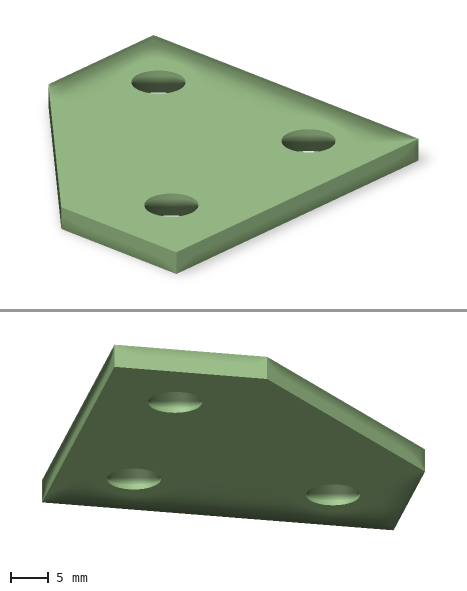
import cadquery as cq

side = 47.65
thickness = 3.2
hole_spacing = 26.95
hole_diameter = 7.2

arm_width = side - hole_spacing
edge_offset = arm_width / 2
corner_cut = side - arm_width

plate = (
    cq.Workplane("XY")
    .moveTo(corner_cut, 0)
    .lineTo(side, 0)
    .lineTo(side, side)
    .lineTo(0, side)
    .lineTo(0, corner_cut)
    .close()
    .extrude(thickness)
)

near = edge_offset
far = side - edge_offset
hole_centers = [(near, far), (far, far), (far, near)]
holes = (
    cq.Workplane("XY")
    .pushPoints(hole_centers)
    .circle(hole_diameter / 2)
    .extrude(thickness)
)

result = plate.cut(holes)